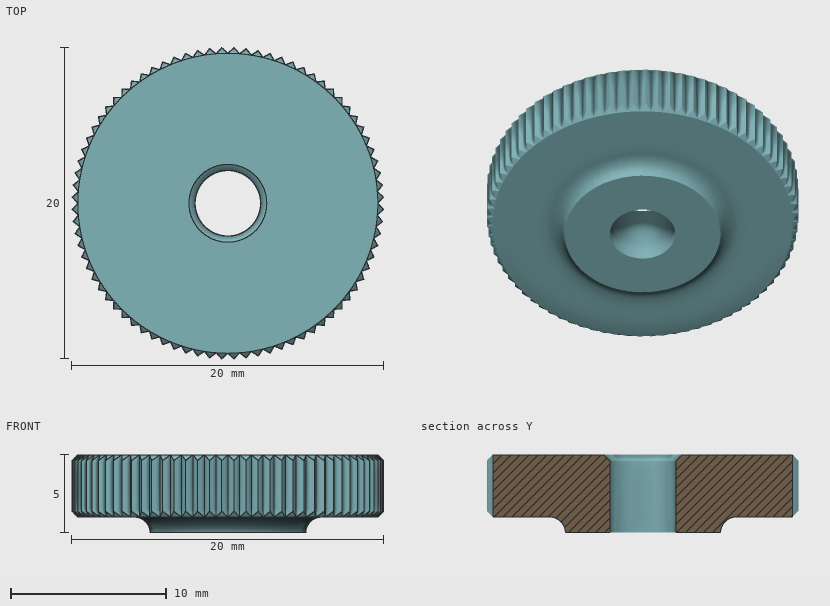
import cadquery as cq
import math

rim_radius = 10.0
rim_thickness = 4.0
total_height = 5.0
hub_radius = 5.0
hub_height = total_height - rim_thickness
hub_fillet = hub_height

tooth_count = 80
half_pitch = math.pi / tooth_count
root_radius = rim_radius / (math.cos(half_pitch) + math.sin(half_pitch))
rim_chamfer = rim_radius - root_radius

bore_radius = 2.1
countersink_radius = 2.5
countersink_depth = countersink_radius - bore_radius


def polar_point(radius, angle):
    return radius * math.cos(angle), radius * math.sin(angle)


def make_body():
    """Revolved disc with chamfered rim, hub and concave hub fillet."""
    sweep_mid = hub_fillet * math.sqrt(0.5)
    return (
        cq.Workplane("XZ")
        .lineTo(hub_radius, 0)
        .threePointArc(
            (hub_radius + hub_fillet - sweep_mid, sweep_mid),
            (hub_radius + hub_fillet, hub_height),
        )
        .lineTo(rim_radius - rim_chamfer, hub_height)
        .lineTo(rim_radius, hub_height + rim_chamfer)
        .lineTo(rim_radius, total_height - rim_chamfer)
        .lineTo(rim_radius - rim_chamfer, total_height)
        .lineTo(0, total_height)
        .close()
        .revolve(360, (0, 0, 0), (0, 1, 0))
    )


def make_knurl_prism():
    """Toothed prism, with a root on each of the X and Y axes."""
    outline = []
    for tooth in range(tooth_count):
        root_angle = 2 * half_pitch * tooth
        outline.append(polar_point(root_radius, root_angle))
        outline.append(polar_point(rim_radius, root_angle + half_pitch))
    return cq.Workplane("XY").polyline(outline).close().extrude(total_height)


def make_bore():
    """Through bore widening into the countersink at the top face."""
    return (
        cq.Workplane("XZ")
        .lineTo(bore_radius, 0)
        .lineTo(bore_radius, total_height - countersink_depth)
        .lineTo(countersink_radius, total_height)
        .lineTo(0, total_height)
        .close()
        .revolve(360, (0, 0, 0), (0, 1, 0))
    )


result = make_body().intersect(make_knurl_prism()).cut(make_bore())